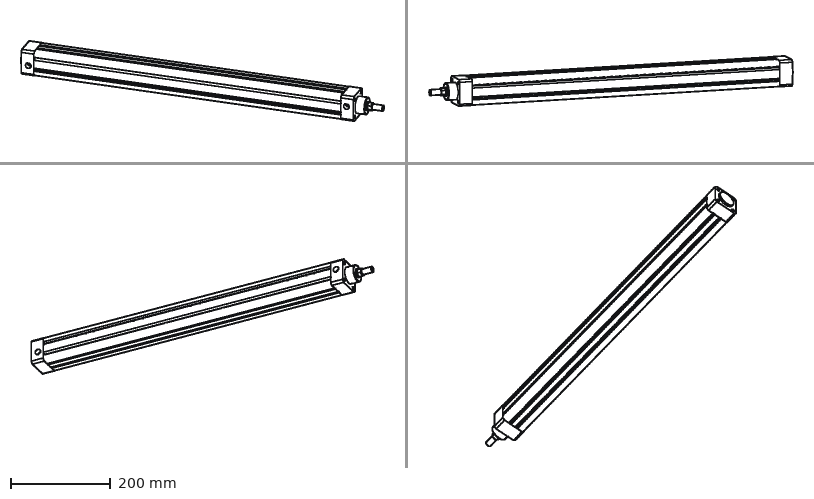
import cadquery as cq


total_length = 763.0
side = 54.0
half_side = side / 2
rear_spigot_length = 4.0
cap_length = 27.0
rod_reach = 32.0
thread_length = 22.0

rear_cap_x = rear_spigot_length
tube_x = rear_cap_x + cap_length
rod_end_x = total_length - thread_length
front_face_x = rod_end_x - rod_reach
front_cap_x = front_face_x - cap_length
tube_length = front_cap_x - tube_x

cap_corner_diameter = 70.0
spigot_diameter = 35.0
front_spigot_length = 20.0
spigot_chamfer = 1.0
wiper_lip_diameter = 18.0
wiper_lip_length = 3.0
port_diameter = 11.5
port_depth = 12.0
port_from_face = 15.0
port_offset_z = 4.8
screw_spacing = 38.0
screw_hole_diameter = 6.0
screw_hole_depth = 16.0

tube_corner_radius = 7.4
top_slot_width = 4.6
top_slot_offset = 8.1
top_slot_depth = 3.0
side_slot_inner = 9.0
side_slot_slope_end = 11.8
side_slot_outer = 15.0
side_slot_depth = 7.5

rod_diameter = 16.0
rod_end_chamfer = 1.5
flat_width = 14.0
thread_diameter = 12.0
thread_chamfer = 1.0

wiper_lip_x = front_face_x + front_spigot_length
flat_x = wiper_lip_x + wiper_lip_length
flat_length = rod_end_x - flat_x


def cylinder_x(diameter, x_start, length):
    """Cylinder on the X axis."""
    return cq.Workplane("YZ", origin=(x_start, 0, 0)).circle(diameter / 2).extrude(length)


def cap_block(x_start):
    """Square block with its four corners turned round."""
    block = cq.Workplane("YZ", origin=(x_start, 0, 0)).rect(side, side).extrude(cap_length)
    return block.intersect(cylinder_x(cap_corner_diameter, x_start, cap_length))


def port(x, z):
    """Blind air port drilled into the -Y side."""
    plane = cq.Workplane("XZ", origin=(x, -half_side, z))
    return plane.circle(port_diameter / 2).extrude(-port_depth)


def screw_holes(face_x, direction):
    """Four blind screw holes drilled from a cap's outer face."""
    return (
        cq.Workplane("YZ", origin=(face_x, 0, 0))
        .rect(screw_spacing, screw_spacing, forConstruction=True)
        .vertices()
        .circle(screw_hole_diameter / 2)
        .extrude(direction * screw_hole_depth)
    )


def make_rear_cap():
    cap = cap_block(rear_cap_x).union(cylinder_x(spigot_diameter, 0, rear_spigot_length))
    cap = cap.cut(port(rear_cap_x + port_from_face, -port_offset_z))
    return cap.cut(screw_holes(rear_cap_x, 1))


def make_front_cap():
    spigot = cylinder_x(spigot_diameter, front_face_x, front_spigot_length)
    spigot = spigot.faces(">X").edges().chamfer(spigot_chamfer)
    wiper_lip = cylinder_x(wiper_lip_diameter, wiper_lip_x, wiper_lip_length)
    rod_hole = cylinder_x(rod_diameter, front_cap_x, flat_x - front_cap_x)
    cap = cap_block(front_cap_x).union(spigot).union(wiper_lip).cut(rod_hole)
    cap = cap.cut(port(front_face_x - port_from_face, port_offset_z))
    return cap.cut(screw_holes(front_face_x, -1))


def make_tube():
    """Extruded profile with two slots in each of its four sides."""
    plane = cq.Workplane("YZ", origin=(tube_x, 0, 0))
    tube = plane.rect(side, side).extrude(tube_length).edges("|X").fillet(tube_corner_radius)

    top_slots = (
        plane.rect(2 * top_slot_offset, side, forConstruction=True)
        .vertices()
        .rect(top_slot_width, 2 * top_slot_depth)
        .extrude(tube_length)
    )
    tube = tube.cut(top_slots)

    slot_floor = half_side - side_slot_depth
    for y_sign in (-1, 1):
        for z_sign in (-1, 1):
            side_slot = (
                plane.moveTo(y_sign * half_side, z_sign * side_slot_inner)
                .lineTo(y_sign * slot_floor, z_sign * side_slot_slope_end)
                .lineTo(y_sign * slot_floor, z_sign * side_slot_outer)
                .lineTo(y_sign * half_side, z_sign * side_slot_outer)
                .close()
                .extrude(tube_length)
            )
            tube = tube.cut(side_slot)
    return tube


def make_rod():
    """Rod with two wrench flats and a smaller threaded end, left as a plain cylinder."""
    rod = cylinder_x(rod_diameter, front_cap_x, rod_end_x - front_cap_x)
    rod = rod.faces(">X").edges().chamfer(rod_end_chamfer)
    for y_sign in (-1, 1):
        flat_y = y_sign * (flat_width + rod_diameter) / 2
        flat_cutter = cq.Workplane("YZ", origin=(flat_x, flat_y, 0)).rect(rod_diameter, rod_diameter)
        rod = rod.cut(flat_cutter.extrude(flat_length))
    thread = cylinder_x(thread_diameter, rod_end_x, thread_length)
    thread = thread.faces(">X").edges().chamfer(thread_chamfer)
    return rod.union(thread)


rear_cap = make_rear_cap()
tube = make_tube()
front_cap = make_front_cap()
rod = make_rod()
result = cq.Compound.makeCompound([rear_cap.val(), tube.val(), front_cap.val(), rod.val()])